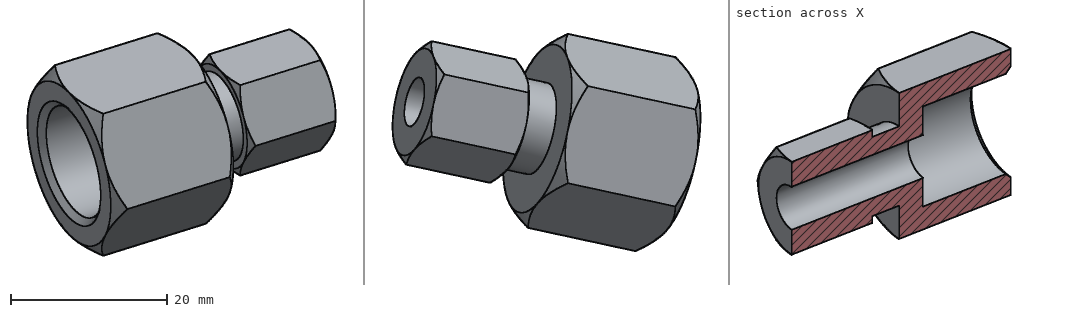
import cadquery as cq
import math

total_length = 35.2
large_hex_length = 18.0
small_hex_length = 13.0
neck_length = total_length - large_hex_length - small_hex_length

large_hex_flats = 22.0
small_hex_flats = 14.0
neck_diameter = 12.0
large_chamfer_angle = 41.0
small_chamfer_angle = 30.0

through_diameter = 6.4
socket_diameter = 15.0
socket_depth = 14.08
countersink_diameter = 16.7
countersink_depth = 0.85

front_y = -total_length / 2
neck_y = front_y + large_hex_length
small_hex_y = neck_y + neck_length


def turned(profile):
    """Revolve a closed list of (radius, y) points around the Y axis."""
    return cq.Workplane("XY").polyline(profile).close().revolve(360, (0, 0, 0), (0, 1, 0))


def hex_nut(flats, length, start_y, chamfer_angle):
    """Hexagon along Y with corners on X and both ends turned to a cone."""
    corners = flats / math.cos(math.radians(30))
    end_y = start_y + length
    prism = (
        cq.Workplane("XZ", origin=(0, end_y, 0))
        .polygon(6, corners)
        .extrude(length)
    )
    face_radius = flats / 2
    corner_radius = corners / 2
    drop = (corner_radius - face_radius) * math.tan(math.radians(chamfer_angle))
    envelope = turned([
        (0, start_y),
        (face_radius, start_y),
        (corner_radius, start_y + drop),
        (corner_radius, end_y - drop),
        (face_radius, end_y),
        (0, end_y),
    ])
    return prism.intersect(envelope)


def cylinder(diameter, length, start_y):
    return cq.Workplane("XZ", origin=(0, start_y, 0)).circle(diameter / 2).extrude(-length)


large_hex = hex_nut(large_hex_flats, large_hex_length, front_y, large_chamfer_angle)
small_hex = hex_nut(small_hex_flats, small_hex_length, small_hex_y, small_chamfer_angle)
neck = cylinder(neck_diameter, neck_length, neck_y)
body = large_hex.union(neck).union(small_hex)

through_hole = cylinder(through_diameter, total_length, front_y)
socket = cylinder(socket_diameter, socket_depth, front_y)
countersink = turned([
    (0, front_y),
    (countersink_diameter / 2, front_y),
    (socket_diameter / 2, front_y + countersink_depth),
    (0, front_y + countersink_depth),
])

result = body.cut(through_hole).cut(socket).cut(countersink)